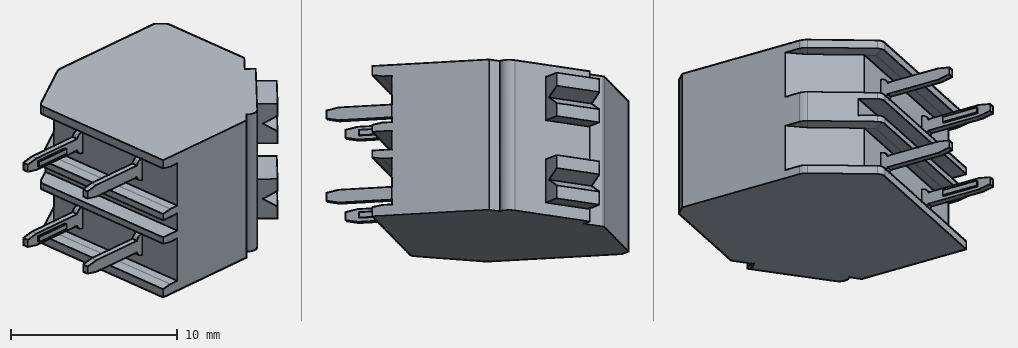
import cadquery as cq
import math


width = 12.7
height = 9.28
front_y = 3.5
back_y = 16.44
back_chamfer = 0.55

slope_width = 2.42
slope_length = 4.08
side_fillet = 0.97
front_fillet = 0.5

land_start_x = 8.45
land_start_y = 15.9
land_step = 0.47
land_end_x = 12.64
land_end_fillet = 0.64
shoulder_fillet = 0.25

pole_pitch = 5.08
pole_heights = [(height - pole_pitch) / 2, (height + pole_pitch) / 2]

recess_depth = 1.22
recess_height = 3.08
bevel_height = 0.109
bevel_width = 0.64

slot_height = 1.15

button_gap = 0.1
button_length = 3.01
button_top_y = 16.72
button_width = 2.68
groove_width = 1.07
groove_depth = 0.89

pin_positions = [4.61, 9.6]
pin_thickness = 0.38
pin_width = 0.79
pin_tip_width = 0.48
pin_tip_length = 0.75
pin_root_width = 1.47
pin_root_radius = 0.48
rib_projection = 0.13
rib_width = 0.33
rib_start_y = 0.85
rib_end_y = 3.2

floor_y = front_y + recess_depth
slope_end_y = front_y + slope_length

overshoot = 1.67


def fillet_upright_edge(solid, x, y, radius):
    """Round the edge parallel to Z that passes through (x, y)."""
    edge = cq.selectors.NearestToPointSelector((x, y, height / 2))
    return solid.edges("|Z").edges(edge).fillet(radius)


def make_housing():
    notch_x = land_start_x - land_step
    notch_y = land_start_y - land_step
    shoulder_start_x = notch_x - (back_y - notch_y)
    land_end_y = land_start_y - (land_end_x - land_start_x)
    shoulder_end_y = notch_y - (width - notch_x)
    outline = [
        (slope_width, front_y),
        (width, front_y),
        (width, shoulder_end_y),
        (land_end_x - land_step, land_end_y - land_step),
        (land_end_x, land_end_y),
        (land_start_x, land_start_y),
        (notch_x, notch_y),
        (shoulder_start_x, back_y),
        (back_chamfer, back_y),
        (0, back_y - back_chamfer),
        (0, slope_end_y),
    ]
    housing = cq.Workplane("XY").polyline(outline).close().extrude(height)
    housing = fillet_upright_edge(housing, 0, slope_end_y, side_fillet)
    housing = fillet_upright_edge(housing, slope_width, front_y, front_fillet)
    housing = fillet_upright_edge(housing, land_end_x, land_end_y, land_end_fillet)
    return fillet_upright_edge(housing, shoulder_start_x, back_y, shoulder_fillet)


def make_rim_lip():
    """Tapered layer along the front outline, from Z = 0 up; it leaves the rim bevel of a recess."""
    right_x = width + overshoot
    outline = [
        (slope_width, front_y),
        (right_x, front_y),
        (right_x, back_y),
        (0, back_y),
        (0, slope_end_y),
    ]
    plate = cq.Workplane("XY").polyline(outline).close().extrude(height)
    plate = fillet_upright_edge(plate, 0, slope_end_y, side_fillet)
    taper = math.degrees(math.atan2(bevel_width, bevel_height))
    base = plate.faces("<Z").wires().toPending().workplane(invert=True)
    return base.extrude(bevel_height, taper=taper, combine=False)


def make_recess_cutter():
    """Space in front of a pole, centred on Z = 0, its rear walls parallel to the housing outline."""
    right_x = width + overshoot
    outline = [
        (-slope_width, floor_y + 2 * slope_length),
        (slope_width, floor_y),
        (right_x, floor_y),
        (right_x, front_y - overshoot),
        (-slope_width, front_y - overshoot),
    ]
    cutter = cq.Workplane("XY").polyline(outline).close().extrude(recess_height / 2, both=True)
    lower_lip = make_rim_lip().translate((0, 0, -recess_height / 2))
    return cutter.cut(lower_lip).cut(lower_lip.mirror("XY"))


def make_slot_cutter():
    """Slot across the full width at mid height, as deep as the recesses."""
    cutter = cq.Workplane("XY").box(width, floor_y, slot_height, centered=(False, False, True))
    return cutter.translate((0, 0, height / 2))


def make_button():
    """Grooved block on the land, centred on Z = 0."""
    diagonal = math.sqrt(0.5)
    start_x = land_start_x + button_gap * diagonal
    start_y = land_start_y - button_gap * diagonal
    button_rise = (button_top_y - start_y) / diagonal
    along_land = cq.Plane(origin=(start_x, start_y, 0), xDir=(0, 0, 1), normal=(-1, 1, 0))
    profile = [
        (-button_width / 2, -land_step),
        (-button_width / 2, button_rise),
        (-groove_width / 2, button_rise),
        (0, button_rise - groove_depth),
        (groove_width / 2, button_rise),
        (button_width / 2, button_rise),
        (button_width / 2, -land_step),
    ]
    return cq.Workplane(along_land).polyline(profile).close().extrude(-button_length)


def make_pin(rib_side):
    """Flat pin centred on X = 0 and Z = 0; rib_side (+1 or -1) is the X side that carries the rib."""
    half_profile = [
        (0, pin_tip_width / 2),
        (pin_tip_length, pin_width / 2),
        (floor_y, pin_width / 2),
    ]
    mirrored = [(y, -z) for y, z in reversed(half_profile)]
    blade = cq.Workplane("YZ").polyline(half_profile + mirrored).close().extrude(pin_thickness / 2, both=True)
    root = cq.Workplane("XY").box(pin_thickness, 2 * pin_root_radius + overshoot, pin_root_width)
    root = root.edges("<Y and |X").fillet(pin_root_radius)
    root = root.translate((0, floor_y + overshoot / 2, 0))
    rib_length = rib_end_y - rib_start_y
    rib_reach = pin_thickness / 2 + rib_projection
    rib = cq.Workplane("XY").box(rib_reach, rib_length, rib_width)
    rib = rib.translate((rib_side * rib_reach / 2, rib_start_y + rib_length / 2, 0))
    return blade.union(root).union(rib)


result = make_housing().cut(make_slot_cutter())
recess_cutter = make_recess_cutter()
button = make_button()
for pole_z in pole_heights:
    result = result.cut(recess_cutter.translate((0, 0, pole_z)))
    result = result.union(button.translate((0, 0, pole_z)))
    for pin_x, rib_side in zip(pin_positions, (1, -1)):
        result = result.union(make_pin(rib_side).translate((pin_x, 0, pole_z)))